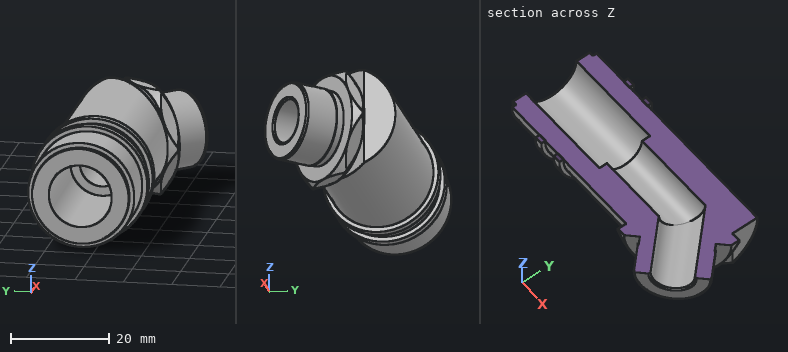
import cadquery as cq
import math

overall_length = 60.2
bend_angle = 45.0
bend_cos = math.cos(math.radians(bend_angle))
bend_sin = math.sin(math.radians(bend_angle))

barrel_diameter = 21.95
barrel_radius = barrel_diameter / 2
barrel_length = 53.9
lip_radius = 10.0
lip_length = 1.0

ring_diameter = 24.0
ring_radius = ring_diameter / 2
ring_width = 2.0
ring_starts = [10.0, 15.95]

hex_across_flats = barrel_diameter
hex_thickness = 3.0
hex_face_radius = hex_across_flats / 2
hex_rim_radius = hex_face_radius + hex_thickness / 2

nozzle_radius = 8.0
nozzle_length = 9.0
neck_radius = 7.8
neck_length = 1.7
tip_chamfer_length = 0.5
tip_chamfer_depth = 0.25
tip_radius = nozzle_radius - tip_chamfer_depth

bore_radius = 4.5
mouth_radius = 4.95
mouth_depth = 0.3
counterbore_radius = 6.5
counterbore_depth = 24.1

hex_back = bore_radius
hex_front = hex_back + hex_thickness
neck_end = hex_front + neck_length
tip = hex_front + nozzle_length

bend_x = overall_length - tip * bend_cos - tip_radius * bend_sin
bend_point = cq.Vector(bend_x, 0, 0)
nozzle_direction = cq.Vector(bend_cos, -bend_sin, 0)
sideways = cq.Vector(bend_sin, bend_cos, 0)


def nozzle_plane(distance):
    """Plane square to the nozzle axis; local x lies in the XY plane and local y points along Z."""
    return cq.Plane(origin=bend_point + nozzle_direction * distance, xDir=sideways, normal=nozzle_direction)


def revolved_on_nozzle_axis(profile):
    """Solid of revolution from (radius, distance from the bend point) points."""
    axis_plane = cq.Plane(origin=bend_point, xDir=(0, 0, 1), normal=sideways)
    return cq.Workplane(axis_plane).polyline(profile).close().revolve(360, (0, 0), (0, 1))


def make_barrel():
    barrel = (
        cq.Workplane("YZ")
        .workplane(offset=lip_length)
        .circle(barrel_radius)
        .extrude(barrel_length - lip_length)
    )
    lip = cq.Workplane("YZ").circle(lip_radius).extrude(lip_length)
    beyond_collar = (
        cq.Workplane(nozzle_plane(hex_back))
        .rect(overall_length, overall_length)
        .extrude(overall_length)
    )
    return barrel.union(lip).cut(beyond_collar)


def make_hex_collar():
    across_corners = hex_across_flats / math.cos(math.radians(30))
    hexagon = cq.Workplane(nozzle_plane(hex_back)).polygon(6, across_corners).extrude(hex_thickness)
    double_cone = revolved_on_nozzle_axis([
        (0, hex_back),
        (hex_face_radius, hex_back),
        (hex_rim_radius, hex_back + hex_thickness / 2),
        (hex_face_radius, hex_front),
        (0, hex_front),
    ])
    return hexagon.intersect(double_cone)


def make_nozzle():
    return revolved_on_nozzle_axis([
        (0, hex_front),
        (neck_radius, hex_front),
        (neck_radius, neck_end),
        (nozzle_radius, neck_end),
        (nozzle_radius, tip - tip_chamfer_length),
        (tip_radius, tip),
        (0, tip),
    ])


def make_passage():
    """Angled bore with a mitred bend, a counterbore at the barrel end and a flared mouth."""
    tip_point = bend_point + nozzle_direction * tip
    path = cq.Workplane("XY").polyline([(0, 0), (bend_x, 0), (tip_point.x, tip_point.y)])
    bore = cq.Workplane("YZ").circle(bore_radius).sweep(path, transition="right")
    counterbore = cq.Workplane("YZ").circle(counterbore_radius).extrude(counterbore_depth)
    mouth = revolved_on_nozzle_axis([
        (0, tip - mouth_depth),
        (bore_radius, tip - mouth_depth),
        (mouth_radius, tip),
        (0, tip),
    ])
    return bore.union(counterbore).union(mouth)


def make_housing():
    return make_barrel().union(make_hex_collar()).union(make_nozzle()).cut(make_passage())


def make_ring(start):
    return (
        cq.Workplane("YZ")
        .workplane(offset=start)
        .circle(ring_radius)
        .circle(barrel_radius)
        .extrude(ring_width)
    )


housing = make_housing()
rings = [make_ring(start) for start in ring_starts]

result = cq.Compound.makeCompound([housing.solids().val(), *[ring.val() for ring in rings]])